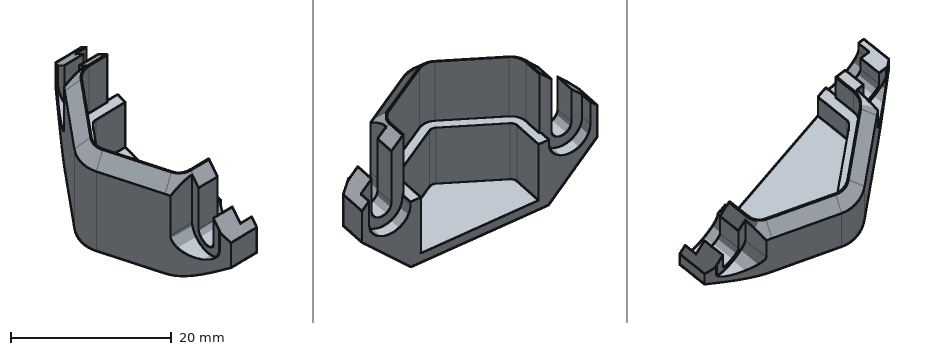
import cadquery as cq
import math

width = 36.0
depth = 13.75
height = 20.0
half_width = width / 2

front_angle = math.radians(30)
bevel_angle = 45
bevel_width = 2.0
end_half_width = 10.5
corner_radius = 2.5
nose_radius = corner_radius + bevel_width

rim_width = 0.15
shelf_height = 10.5
lower_wall = 1.5
floor_thickness = lower_wall

slot_offset = 13.75
slot_radius = 1.5
front_slot_radius = 2.85
rear_slot_radius = 3.15
rear_slot_depth = 1.75
lug_thickness = 3.0

mid_height = height / 2

nose_rounding_loss = nose_radius * (1 / math.cos(front_angle) - 1)
outer_apex = depth + nose_rounding_loss
end_apex = outer_apex - bevel_width / math.cos(front_angle)


def pentagon(half, apex):
    """Sharp outline with its back edge on y = 0 and its nose toward -Y."""
    side_depth = apex - half * math.tan(front_angle)
    return cq.Workplane("XY").polyline(
        [(-half, 0), (-half, -side_depth), (0, -apex), (half, -side_depth), (half, 0)]
    ).close()


def rounded_outline(inset):
    """Top and bottom outline moved inward by inset, as a closed wire."""
    half = end_half_width - inset
    apex = end_apex - inset / math.cos(front_angle)
    block = pentagon(half, apex).extrude(height)
    block = block.edges("|Z and (not >Y)").fillet(corner_radius - inset)
    return block.faces("<Z").wires().val()


def outline_prism(inset, bottom, top):
    """Straight prism of the inset outline between two heights."""
    return (
        cq.Workplane("XY")
        .add(rounded_outline(inset))
        .toPending()
        .extrude(top - bottom)
        .translate((0, 0, bottom))
    )


def outer_body():
    """Wedge-shaped prism trimmed by bevels that follow the end outlines."""
    prism = pentagon(half_width, outer_apex).extrude(height)
    prism = prism.edges("|Z and <Y").fillet(nose_radius)

    base = cq.Workplane("XY").add(rounded_outline(0)).toPending()
    flare = base.extrude(mid_height, taper=-bevel_angle)
    lower = prism.intersect(flare)
    upper = lower.mirror("XY").translate((0, 0, height))
    return lower.union(upper)


def open_slot(x, radius, front, back):
    """Round-bottomed slot running up through the top, spanning y = -front to -back."""
    length = front - back
    plane = cq.Workplane("XZ", origin=(x, -back, mid_height))
    round_end = plane.circle(radius).extrude(length)
    straight = plane.rect(2 * radius, height, centered=(True, False)).extrude(length)
    return round_end.union(straight)


result = outer_body()

result = result.cut(outline_prism(rim_width, shelf_height, height))
result = result.cut(outline_prism(lower_wall, floor_thickness, height))

back_relief = cq.Workplane("XY").box(
    2 * (slot_offset - rear_slot_radius), rear_slot_depth, height, centered=(True, False, False)
)
result = result.cut(back_relief.translate((0, -rear_slot_depth, shelf_height)))

lug_front = rear_slot_depth + lug_thickness
for side in (-1, 1):
    slot_x = side * slot_offset
    result = result.cut(open_slot(slot_x, rear_slot_radius, rear_slot_depth, 0))
    result = result.cut(open_slot(slot_x, slot_radius, depth, 0))
    result = result.cut(open_slot(slot_x, front_slot_radius, depth, lug_front))